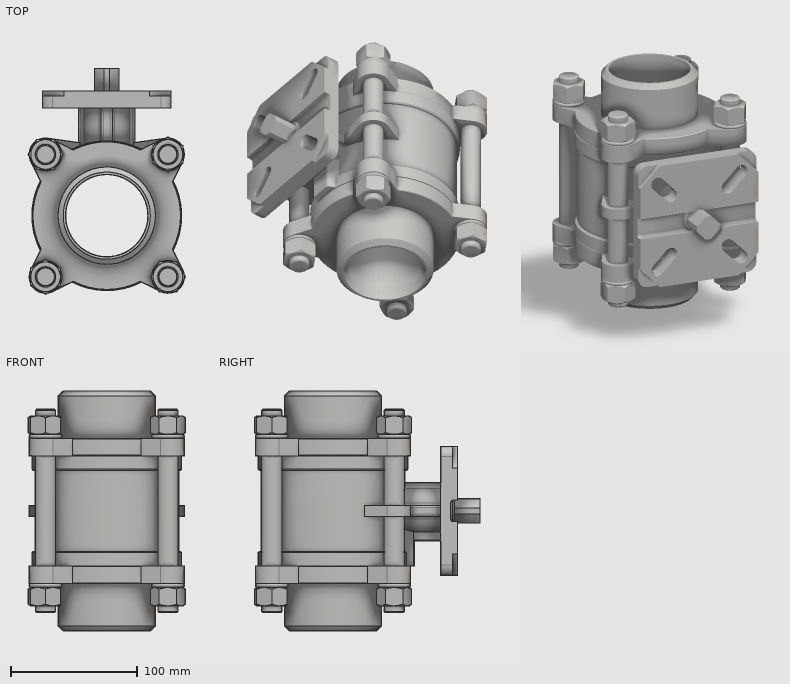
import cadquery as cq
import math

selection_tolerance = 0.01

overall_length = 190.0
pipe_diameter = 77.0
bore_diameter = 65.0
pipe_end_chamfer = 4.0

body_diameter = 114.0
collar_diameter = 118.6
collar_width = 11.5
collar_chamfer = 1.0

flange_diameter = 118.0
flange_outer_z = 57.5
flange_thickness = 14.0
flange_inner_z = flange_outer_z - flange_thickness
flange_edge_chamfer = 0.6

bolt_circle_diameter = 137.0
bolt_offset = bolt_circle_diameter / 2 * math.sqrt(0.5)
lug_radius = 13.0
lug_flank_angle = 26.5
lug_flank_length = 20.0
middle_lug_thickness = 8.5
middle_lug_neck_angle = 8.0
middle_lug_neck_flank_length = 27.0
middle_lug_root = (10.0, 45.0)

stud_diameter = 16.0
stud_length = 161.0
stud_chamfer = 1.0
washer_diameter = 26.0
washer_thickness = 3.0
nut_across_flats = 24.0
nut_height = 14.8
nut_chamfer_diameter = 23.5
nut_chamfer_angle = 35.0

plate_size = 102.0
plate_back_y = 85.2
plate_front_y = 98.7
plate_corner_radius = 8.0
plate_step_depth = 4.0
plate_step_leg = 17.0
groove_width = 17.0
groove_depth = 5.5
groove_corner_radius = 2.0
slot_width = 11.0
slot_inner_circle = 70.0
slot_outer_circle = 102.0
slot_inner_offset = slot_inner_circle / 2 * math.sqrt(0.5)
slot_outer_offset = slot_outer_circle / 2 * math.sqrt(0.5)

neck_root_y = 45.0
neck_radius = 19.0
rib_tip_radius = 22.4
rib_width = 8.8
rib_tip_fillet = 1.8
rib_base_fillet = 2.8
lower_rib_width = 18.0
lower_rib_tip = 23.8
lower_rib_fillet = 1.2

pad_front_y = 64.4
pad_front_width = 18.0
pad_root_width = 35.0
pad_top_z = -5.0
pad_chamfer = 0.8

stem_end_y = 116.5
stem_across_flats = 17.0
stem_across_corners = 19.4
stem_shoulder_diameter = 23.5
stem_shoulder_y = 96.0
stem_shoulder_chamfer = 1.3


def polar(start, length, degrees):
    """Point at a distance and direction from a start point."""
    angle = math.radians(degrees)
    return (start[0] + length * math.cos(angle), start[1] + length * math.sin(angle))


def cylinder_z(diameter, z_start, z_end):
    return cq.Workplane("XY").workplane(offset=z_start).circle(diameter / 2).extrude(z_end - z_start)


def plane_xz(y):
    """Workplane at height y whose local axes are X and -Z and whose normal is +Y."""
    return cq.Workplane(cq.Plane(origin=(0, y, 0), xDir=(1, 0, 0), normal=(0, 1, 0)))


def make_pipe():
    half_length = overall_length / 2
    return cylinder_z(pipe_diameter, -half_length, half_length).faces("|Z").chamfer(pipe_end_chamfer)


def make_body():
    body = cylinder_z(body_diameter, -flange_inner_z, flange_inner_z)
    collar = cylinder_z(collar_diameter, flange_inner_z - collar_width, flange_inner_z)
    collar = collar.faces("<Z").chamfer(collar_chamfer)
    return body.union(collar).union(collar.mirror("XY"))


def make_lug():
    """Flange lug on the +X +Y diagonal: a round end with two flanks spreading inward."""
    bolt = (bolt_offset, bolt_offset)
    upper_tangent = polar(bolt, lug_radius, 90 + lug_flank_angle)
    upper_root = polar(upper_tangent, lug_flank_length, 180 + lug_flank_angle)
    return (
        cq.Workplane("XY")
        .workplane(offset=flange_inner_z)
        .moveTo(*upper_root)
        .lineTo(*upper_tangent)
        .threePointArc(polar(bolt, lug_radius, 45), upper_tangent[::-1])
        .lineTo(*upper_root[::-1])
        .close()
        .extrude(flange_thickness)
    )


def make_flange():
    flange = cylinder_z(flange_diameter, flange_inner_z, flange_outer_z)
    flange = flange.faces("|Z").chamfer(flange_edge_chamfer)
    lug = make_lug()
    for quarter in range(4):
        flange = flange.union(lug.rotate((0, 0, 0), (0, 0, 1), 90 * quarter))
    return flange


def make_middle_lug():
    """Stud support on the +X +Y diagonal, reaching from the body side to the neck."""
    bolt = (bolt_offset, bolt_offset)
    side_tangent = polar(bolt, lug_radius, -lug_flank_angle)
    side_root = polar(side_tangent, lug_flank_length, 270 - lug_flank_angle)
    neck_tangent = polar(bolt, lug_radius, 90 + middle_lug_neck_angle)
    neck_end = polar(neck_tangent, middle_lug_neck_flank_length, 180 + middle_lug_neck_angle)
    return (
        cq.Workplane("XY")
        .moveTo(*side_root)
        .lineTo(*side_tangent)
        .threePointArc(polar(bolt, lug_radius, 45), neck_tangent)
        .lineTo(*neck_end)
        .lineTo(*middle_lug_root)
        .close()
        .extrude(middle_lug_thickness / 2, both=True)
    )


def make_washer():
    """Washer on the flange face, with a fully rounded rim."""
    washer_top = flange_outer_z + washer_thickness
    washer_middle = flange_outer_z + washer_thickness / 2
    face_radius = (washer_diameter - washer_thickness) / 2
    return (
        cq.Workplane("XZ")
        .moveTo(0, flange_outer_z)
        .lineTo(face_radius, flange_outer_z)
        .threePointArc((washer_diameter / 2, washer_middle), (face_radius, washer_top))
        .lineTo(0, washer_top)
        .close()
        .revolve(360, (0, 0, 0), (0, 1, 0))
    )


def make_nut():
    """Hexagon nut on the washer, its corners turned down by a cone at both ends."""
    across_corners = nut_across_flats / math.cos(math.radians(30))
    corner_radius = across_corners / 2
    chamfer_radius = nut_chamfer_diameter / 2
    chamfer_height = (corner_radius - chamfer_radius) * math.tan(math.radians(nut_chamfer_angle))
    envelope = (
        cq.Workplane("XZ")
        .moveTo(0, 0)
        .lineTo(chamfer_radius, 0)
        .lineTo(corner_radius, chamfer_height)
        .lineTo(corner_radius, nut_height - chamfer_height)
        .lineTo(chamfer_radius, nut_height)
        .lineTo(0, nut_height)
        .close()
        .revolve(360, (0, 0, 0), (0, 1, 0))
    )
    hexagon = cq.Workplane("XY").polygon(6, across_corners).extrude(nut_height)
    return hexagon.intersect(envelope)


def make_stud():
    """Stud with a washer and nut at each end, centred on the Z axis."""
    stud = cylinder_z(stud_diameter, -stud_length / 2, stud_length / 2).faces("|Z").chamfer(stud_chamfer)
    washer_top = flange_outer_z + washer_thickness
    fastener = make_washer().union(make_nut().translate((0, 0, washer_top)))
    return stud.union(fastener).union(fastener.mirror("XY"))


def make_neck():
    """Round column with four filleted ribs, the one at -Z widened and deepened."""
    neck_length = plate_back_y - neck_root_y
    column = plane_xz(neck_root_y).circle(neck_radius).extrude(neck_length)
    ribs = plane_xz(neck_root_y).rect(2 * rib_tip_radius, rib_width).extrude(neck_length)
    ribs = ribs.edges("|Y").fillet(rib_tip_fillet)
    ribs = ribs.union(ribs.rotate((0, 0, 0), (0, 1, 0), 90))
    neck = column.union(ribs)
    corner_height = math.sqrt(neck_radius**2 - (rib_width / 2) ** 2)
    base_edges = neck.edges("|Y").filter(
        lambda edge: max(abs(edge.Center().x), abs(edge.Center().z)) < corner_height + selection_tolerance
    )
    neck = base_edges.fillet(rib_base_fillet)
    lower_rib = plane_xz(neck_root_y).rect(lower_rib_width, 2 * lower_rib_tip).extrude(neck_length)
    lower_rib = lower_rib.edges("|Y").fillet(lower_rib_fillet)
    lower_half = (
        plane_xz(neck_root_y)
        .center(0, lower_rib_tip / 2)
        .rect(lower_rib_width, lower_rib_tip)
        .extrude(neck_length)
    )
    return neck.union(lower_rib.intersect(lower_half))


def make_pad():
    """Pad tapering outward from the body, between the neck and the lower flange."""
    return (
        cq.Workplane("XY")
        .workplane(offset=-flange_inner_z)
        .moveTo(-pad_root_width / 2, neck_root_y)
        .lineTo(-pad_front_width / 2, pad_front_y)
        .lineTo(pad_front_width / 2, pad_front_y)
        .lineTo(pad_root_width / 2, neck_root_y)
        .close()
        .extrude(pad_top_z + flange_inner_z)
        .edges("|Z and >Y")
        .chamfer(pad_chamfer)
    )


def make_slot(x_side, z_side):
    """Cutter for one diagonal mounting slot."""
    middle = (slot_inner_offset + slot_outer_offset) / 2
    travel = (slot_outer_offset - slot_inner_offset) * math.sqrt(2)
    return (
        plane_xz(plate_back_y)
        .center(x_side * middle, -z_side * middle)
        .slot2D(travel + slot_width, slot_width, -45 * x_side * z_side)
        .extrude(plate_front_y - plate_back_y)
    )


def make_plate():
    """Square plate: rounded rear layer, corner-cut front layer, stem groove and four slots."""
    step_y = plate_front_y - plate_step_depth
    rear = plane_xz(plate_back_y).rect(plate_size, plate_size).extrude(step_y - plate_back_y)
    rear = rear.edges("|Y").fillet(plate_corner_radius)
    front = plane_xz(step_y).rect(plate_size, plate_size).extrude(plate_step_depth)
    front = front.edges("|Y").chamfer(plate_step_leg)
    plate = rear.union(front)
    groove = plane_xz(plate_front_y - groove_depth).rect(plate_size, groove_width).extrude(groove_depth)
    plate = plate.cut(groove.edges("|X and <Y").fillet(groove_corner_radius))
    for x_side in (-1, 1):
        for z_side in (-1, 1):
            plate = plate.cut(make_slot(x_side, z_side))
    return plate


def make_stem():
    """Square drive with its corners truncated by flats, standing on a round shoulder."""
    length = stem_end_y - plate_back_y
    square = plane_xz(plate_back_y).rect(stem_across_flats, stem_across_flats).extrude(length)
    square = square.rotate((0, 0, 0), (0, 1, 0), 45)
    envelope = plane_xz(plate_back_y).rect(stem_across_corners, stem_across_corners).extrude(length)
    shoulder_height = stem_shoulder_y - plate_back_y
    shoulder = plane_xz(plate_back_y).circle(stem_shoulder_diameter / 2).extrude(shoulder_height)
    shoulder = shoulder.faces(">Y").chamfer(stem_shoulder_chamfer)
    return square.intersect(envelope).union(shoulder)


flange = make_flange()
middle_lug = make_middle_lug()

valve = make_pipe().union(make_body()).union(flange).union(flange.mirror("XY"))
valve = valve.union(middle_lug).union(middle_lug.mirror("YZ"))
valve = valve.union(make_neck()).union(make_pad())
valve = valve.cut(cylinder_z(bore_diameter, -overall_length / 2, overall_length / 2))
valve = valve.union(make_plate()).union(make_stem())

stud = make_stud()
for x_side in (-1, 1):
    for y_side in (-1, 1):
        turn = 90 if x_side == y_side else 0
        turned_stud = stud.rotate((0, 0, 0), (0, 0, 1), turn)
        valve = valve.union(turned_stud.translate((x_side * bolt_offset, y_side * bolt_offset, 0)))

result = valve